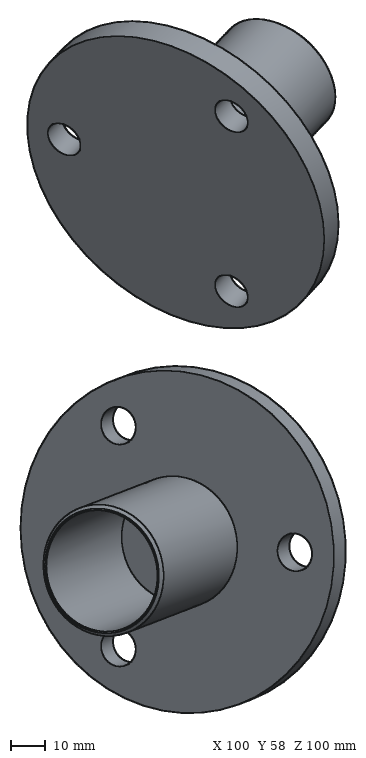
import cadquery as cq

flange_diameter = 100.0
flange_thickness = 8.0

boss_diameter = 38.4
bore_diameter = 35.4
boss_length = 50.0
tip_chamfer = 1.0

hole_diameter = 11.0
hole_count = 3
bolt_circle_radius = 37.5
first_hole_angle = 180.0

total_length = flange_thickness + boss_length


def make_body():
    """Revolve the half section of the flange and hollow boss around the Y axis."""
    flange_radius = flange_diameter / 2
    boss_radius = boss_diameter / 2
    bore_radius = bore_diameter / 2
    return (
        cq.Workplane("XY")
        .lineTo(flange_radius, 0)
        .lineTo(flange_radius, flange_thickness)
        .lineTo(boss_radius, flange_thickness)
        .lineTo(boss_radius, total_length - tip_chamfer)
        .lineTo(boss_radius - tip_chamfer, total_length)
        .lineTo(bore_radius, total_length)
        .lineTo(bore_radius, flange_thickness)
        .lineTo(0, flange_thickness)
        .close()
        .revolve(360, (0, 0, 0), (0, 1, 0))
    )


def make_bolt_holes():
    """Cylinders along +Y that pass through the flange."""
    return (
        cq.Workplane("XZ")
        .polarArray(bolt_circle_radius, first_hole_angle, 360, hole_count)
        .circle(hole_diameter / 2)
        .extrude(-flange_thickness)
    )


result = make_body().cut(make_bolt_holes())